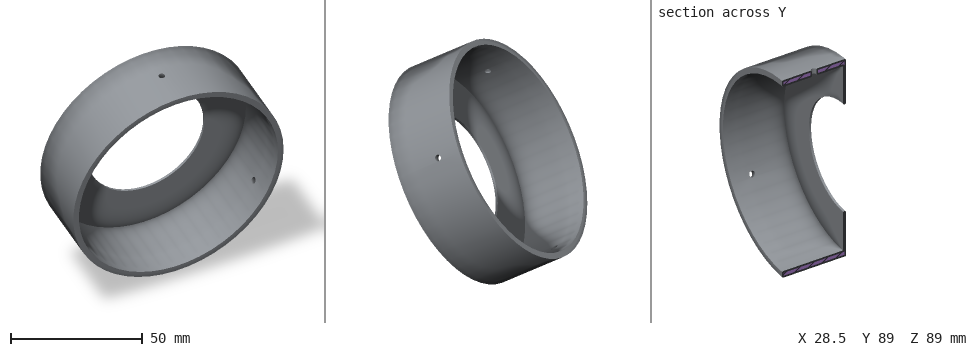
import cadquery as cq

length = 28.5
outer_diameter = 89.0
cavity_diameter = 84.2
end_opening_diameter = 49.0
end_wall_thickness = 1.0
radial_hole_diameter = 2.53
top_hole_distance = 14.2
lower_hole_distance = 18.9

closed_end_x = -length / 2

radial_holes = [
    (top_hole_distance, 90.0),
    (lower_hole_distance, 210.0),
    (lower_hole_distance, 330.0),
]


def x_cylinder(diameter, start_x, cylinder_length):
    """Cylinder on the X axis, running from start_x toward +X."""
    profile = cq.Workplane("YZ").workplane(offset=start_x).circle(diameter / 2)
    return profile.extrude(cylinder_length)


def make_cup():
    """Thin cylindrical wall, open at +X, with an annular end wall at -X."""
    body = x_cylinder(outer_diameter, closed_end_x, length)
    cavity_start_x = closed_end_x + end_wall_thickness
    cavity = x_cylinder(cavity_diameter, cavity_start_x, length - end_wall_thickness)
    opening = x_cylinder(end_opening_diameter, closed_end_x, end_wall_thickness)
    return body.cut(cavity).cut(opening)


def radial_drill(distance, angle):
    """Cutter from the axis outward through one side of the wall."""
    start = (closed_end_x + distance, 0, 0)
    profile = cq.Workplane("XZ", origin=start).circle(radial_hole_diameter / 2)
    drill = profile.extrude(-outer_diameter)
    return drill.rotate((0, 0, 0), (1, 0, 0), angle)


result = make_cup()
for hole_distance, hole_angle in radial_holes:
    result = result.cut(radial_drill(hole_distance, hole_angle))